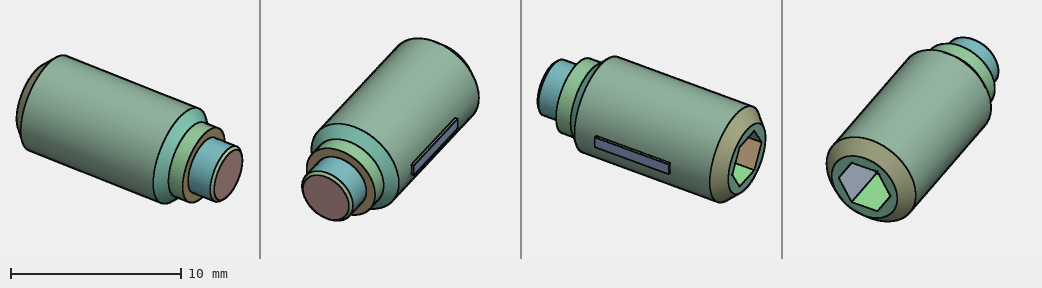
import cadquery as cq
import math

total_length = 13.3
body_diameter = 6.0
body_radius = body_diameter / 2

body_end = 9.96
collar_end = 11.6

collar_diameter = 4.7
collar_radius = collar_diameter / 2
pin_diameter = 3.5
pin_radius = pin_diameter / 2
pin_chamfer = 0.17

socket_chamfer = 0.8
hex_across_flats = 3.0
hex_depth = 3.0

strip_length = 5.0
strip_width = 0.75
strip_height = 0.15
strip_start = 3.5


def make_turned_body():
    """Revolve the stepped half-profile about the X axis."""
    shoulder_length = body_radius - collar_radius
    half_profile = (
        cq.Workplane("XY")
        .moveTo(0, 0)
        .lineTo(0, body_radius - socket_chamfer)
        .lineTo(socket_chamfer, body_radius)
        .lineTo(body_end, body_radius)
        .lineTo(body_end + shoulder_length, collar_radius)
        .lineTo(collar_end, collar_radius)
        .lineTo(collar_end, pin_radius)
        .lineTo(total_length - pin_chamfer, pin_radius)
        .lineTo(total_length, pin_radius - pin_chamfer)
        .lineTo(total_length, 0)
        .close()
    )
    return half_profile.revolve(360, (0, 0, 0), (1, 0, 0))


def make_hex_socket():
    """Hexagonal prism with two flats facing up and down, sunk from X = 0."""
    across_corners = hex_across_flats / math.cos(math.pi / 6)
    return cq.Workplane("YZ").polygon(6, across_corners).extrude(hex_depth)


def make_strip():
    """Bar from the axis out to strip_height beyond the body surface."""
    reach = body_radius + strip_height
    bar = cq.Workplane("XY").box(strip_length, reach, strip_width, centered=(False, False, True))
    return bar.translate((strip_start, 0, 0))


result = make_turned_body().union(make_strip()).cut(make_hex_socket())